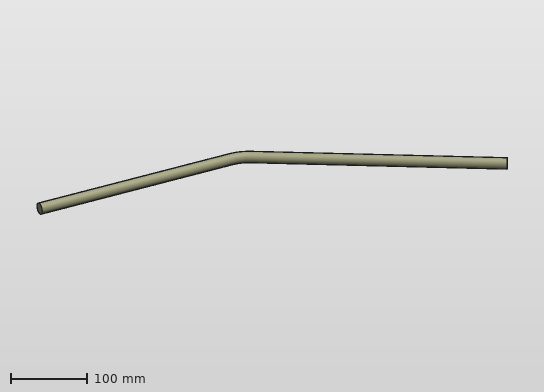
import cadquery as cq
import math

bar_diameter = 15.0
bend_radius = 50.0
lower_leg_length = 282.0
upper_leg_length = 336.0
lower_leg_angle = 80
bend_angle = 30
upper_leg_angle = lower_leg_angle - bend_angle


def polar_step(start, length, angle):
    """Return the point at a given length and direction from start."""
    radians = math.radians(angle)
    return (start[0] + length * math.cos(radians), start[1] + length * math.sin(radians))


lower_end = (0, 0)
bend_start = polar_step(lower_end, lower_leg_length, lower_leg_angle)
bend_center = polar_step(bend_start, bend_radius, lower_leg_angle - 90)
bend_middle = polar_step(bend_center, bend_radius, lower_leg_angle + 90 - bend_angle / 2)
bend_end = polar_step(bend_center, bend_radius, upper_leg_angle + 90)
upper_end = polar_step(bend_end, upper_leg_length, upper_leg_angle)

centerline = (
    cq.Workplane("XY")
    .moveTo(*lower_end)
    .lineTo(*bend_start)
    .threePointArc(bend_middle, bend_end)
    .lineTo(*upper_end)
)

leg_direction = polar_step((0, 0), 1, lower_leg_angle)
end_plane = cq.Plane(origin=(*lower_end, 0), xDir=(0, 0, 1), normal=(*leg_direction, 0))
result = cq.Workplane(end_plane).circle(bar_diameter / 2).sweep(centerline)